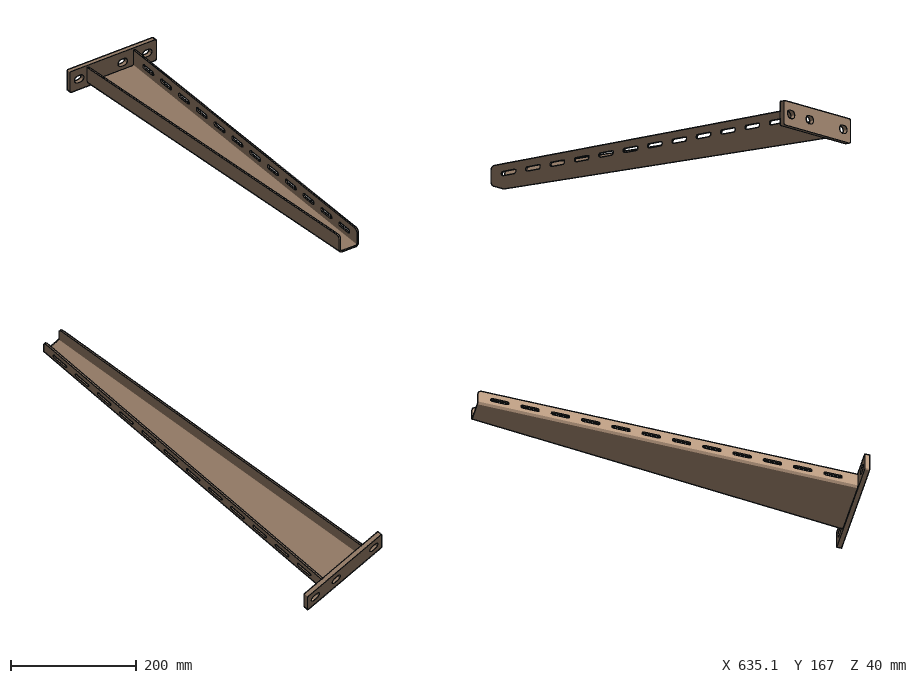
import cadquery as cq
import math

PLATE_THICKNESS = 8
PLATE_WIDTH = 167
PLATE_HEIGHT = 40
PLATE_CORNER_RADIUS = 3
PLATE_SLOT_LENGTH = 18
PLATE_SLOT_HEIGHT = 13
PLATE_SLOT_EDGE_DISTANCE = 18
MIDDLE_SLOT_SPACING = 47

OVERALL_LENGTH = 635.06
ARM_HEIGHT = 32
ARM_ROOT_WIDTH = 92.25
ARM_TIP_WIDTH = 37.25
STRAIGHT_SIDE_Y = 42.25
SHEET_THICKNESS = 3
BEND_INNER_RADIUS = 3
TIP_CORNER_RADIUS = 7

FLANGE_SLOT_COUNT = 12
FLANGE_SLOT_PITCH = 50
FLANGE_SLOT_LENGTH = 30
FLANGE_SLOT_HEIGHT = 7
FLANGE_SLOT_FIRST_X = 49

ARM_LENGTH = OVERALL_LENGTH - PLATE_THICKNESS
ARM_BOTTOM_Z = -ARM_HEIGHT / 2
BEND_OUTER_RADIUS = BEND_INNER_RADIUS + SHEET_THICKNESS
TAPER_SLOPE = (ARM_ROOT_WIDTH - ARM_TIP_WIDTH) / ARM_LENGTH
END_OVERRUN = 5
SLOPING_WALL_Y = SHEET_THICKNESS * math.hypot(1, TAPER_SLOPE)


def make_plate():
    edge_slot_y = PLATE_WIDTH / 2 - PLATE_SLOT_EDGE_DISTANCE
    slot_centres = [(y, 0) for y in (edge_slot_y, edge_slot_y - MIDDLE_SLOT_SPACING, -edge_slot_y)]
    slots = (
        cq.Workplane("YZ")
        .pushPoints(slot_centres)
        .slot2D(PLATE_SLOT_LENGTH, PLATE_SLOT_HEIGHT)
        .extrude(PLATE_THICKNESS)
    )
    return (
        cq.Workplane("YZ")
        .rect(PLATE_WIDTH, PLATE_HEIGHT)
        .extrude(PLATE_THICKNESS)
        .edges("|X")
        .fillet(PLATE_CORNER_RADIUS)
        .cut(slots)
    )


def tapered_block(inset, sloping_inset, bottom_z, start_x, end_x, edge_radius):
    """Block between the straight and the sloping side, with its two long bottom edges rounded."""
    straight_y = STRAIGHT_SIDE_Y - inset

    def sloping_y(x):
        root_y = STRAIGHT_SIDE_Y - ARM_ROOT_WIDTH + sloping_inset
        return root_y + TAPER_SLOPE * (x - PLATE_THICKNESS)

    return (
        cq.Workplane("XY", origin=(0, 0, bottom_z))
        .moveTo(start_x, straight_y)
        .lineTo(start_x, sloping_y(start_x))
        .lineTo(end_x, sloping_y(end_x))
        .lineTo(end_x, straight_y)
        .close()
        .extrude(ARM_HEIGHT)
        .faces("<Z")
        .edges("not |Y")
        .fillet(edge_radius)
    )


def flange_slots():
    """Cutters for the row of slots, at mid-height of the straight flange."""
    slot_centres = [
        (FLANGE_SLOT_FIRST_X + i * FLANGE_SLOT_PITCH, 0) for i in range(FLANGE_SLOT_COUNT)
    ]
    return (
        cq.Workplane("XZ", origin=(0, STRAIGHT_SIDE_Y, 0))
        .pushPoints(slot_centres)
        .slot2D(FLANGE_SLOT_LENGTH, FLANGE_SLOT_HEIGHT)
        .extrude(SHEET_THICKNESS)
    )


def make_arm():
    outside = tapered_block(0, 0, ARM_BOTTOM_Z, PLATE_THICKNESS, OVERALL_LENGTH, BEND_OUTER_RADIUS)
    outside = outside.faces(">X").edges(">Z").fillet(TIP_CORNER_RADIUS)
    hollow = tapered_block(
        SHEET_THICKNESS,
        SLOPING_WALL_Y,
        ARM_BOTTOM_Z + SHEET_THICKNESS,
        PLATE_THICKNESS - END_OVERRUN,
        OVERALL_LENGTH + END_OVERRUN,
        BEND_INNER_RADIUS,
    )
    return outside.cut(hollow).cut(flange_slots())


plate = make_plate()
arm = make_arm()

result = cq.Compound.makeCompound([plate.val(), arm.val()])